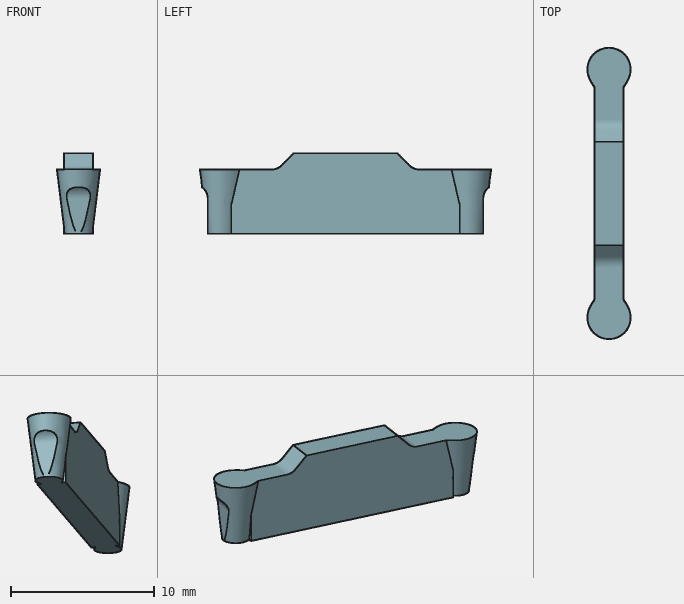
import cadquery as cq
import math

LENGTH = 20.38
BAR_WIDTH = 2.04
HEIGHT = 5.65

RIM_HEIGHT = 4.5
RIDGE_HALF_LENGTH = 3.6
RAMP_ANGLE = 45.0
RAMP_FILLET = 1.0
BAR_HALF_LENGTH = 7.99

HEAD_DIAMETER = 3.04
HEAD_RADIUS = HEAD_DIAMETER / 2
TAPER_ANGLE = 7.0
HEAD_CENTRE = LENGTH / 2 - HEAD_RADIUS
BASE_RADIUS = HEAD_RADIUS - RIM_HEIGHT * math.tan(math.radians(TAPER_ANGLE))

FLAT_Y = 9.64
FLAT_TOP = 2.47
RELIEF_RADIUS = 1.0
RELIEF_SWEEP = 80.0

TANGENT_ANGLE = 26.0
TANGENT_LENGTH = 0.22
BLEND_ANGLE = 32.0
BLEND_LENGTH = 0.49


def make_bar():
    """Stepped bar with 45 degree ramps up to the central ridge."""
    ramp_foot = RIDGE_HALF_LENGTH + (HEIGHT - RIM_HEIGHT) / math.tan(math.radians(RAMP_ANGLE))
    outline = [
        (-BAR_HALF_LENGTH, 0),
        (BAR_HALF_LENGTH, 0),
        (BAR_HALF_LENGTH, RIM_HEIGHT),
        (ramp_foot, RIM_HEIGHT),
        (RIDGE_HALF_LENGTH, HEIGHT),
        (-RIDGE_HALF_LENGTH, HEIGHT),
        (-ramp_foot, RIM_HEIGHT),
        (-BAR_HALF_LENGTH, RIM_HEIGHT),
    ]
    bar = cq.Workplane("YZ").polyline(outline).close().extrude(BAR_WIDTH / 2, both=True)
    for end in (-1, 1):
        foot = cq.selectors.NearestToPointSelector((0, end * ramp_foot, RIM_HEIGHT))
        bar = bar.edges("|X").edges(foot).fillet(RAMP_FILLET)
    return bar


def neck_section(head_radius):
    """Symmetric neck outline, tangent to a head circle of the given radius."""
    tangent = math.radians(TANGENT_ANGLE)
    blend = math.radians(BLEND_ANGLE)
    x = head_radius * math.cos(tangent)
    y = HEAD_CENTRE - head_radius * math.sin(tangent)
    side = [(x, y)]
    for angle, length in ((tangent, TANGENT_LENGTH), (blend, BLEND_LENGTH)):
        x -= length * math.sin(angle)
        y -= length * math.cos(angle)
        side.append((x, y))
    return side + [(-x, y) for x, y in reversed(side)]


def make_neck():
    return (
        cq.Workplane("XY")
        .polyline(neck_section(BASE_RADIUS))
        .close()
        .workplane(offset=RIM_HEIGHT)
        .polyline(neck_section(HEAD_RADIUS))
        .close()
        .loft(ruled=True)
    )


def make_relief_cutter():
    """Material beyond the end flat and below the arc that leads out to the rim."""
    def arc_point(degrees):
        angle = math.radians(degrees)
        return (
            FLAT_Y + RELIEF_RADIUS * (1 - math.cos(angle)),
            FLAT_TOP + RELIEF_RADIUS * math.sin(angle),
        )

    return (
        cq.Workplane("YZ")
        .moveTo(FLAT_Y, 0)
        .lineTo(FLAT_Y, FLAT_TOP)
        .threePointArc(arc_point(RELIEF_SWEEP / 2), arc_point(RELIEF_SWEEP))
        .lineTo(arc_point(RELIEF_SWEEP)[0], 0)
        .close()
        .extrude(HEAD_RADIUS, both=True)
    )


def make_head():
    """Tapered round head with its neck, at the +Y end."""
    cone = cq.Workplane(
        cq.Solid.makeCone(BASE_RADIUS, HEAD_RADIUS, RIM_HEIGHT, pnt=cq.Vector(0, HEAD_CENTRE, 0))
    )
    return cone.union(make_neck()).cut(make_relief_cutter())


head = make_head()
result = make_bar().union(head).union(head.mirror("XZ")).clean()